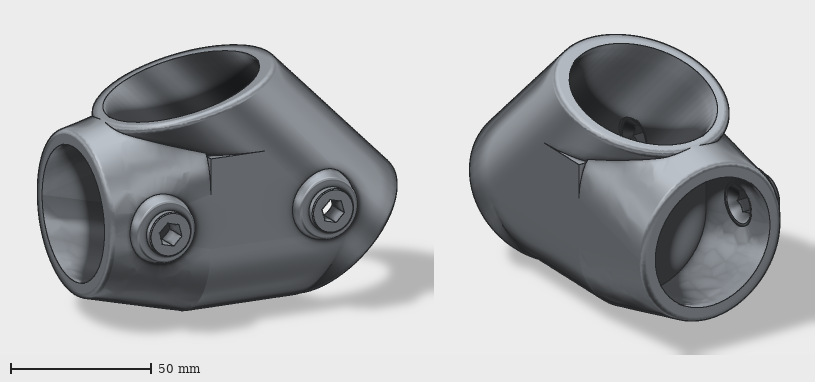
import cadquery as cq
import math

TUBE_RADIUS = 30.3
TUBE_BORE_RADIUS = 25.4
MOUTH_RADIUS = 25.0
TUBE_ANGLE = 45.0
TAPER_ANGLE = 14.5
TAPER_LENGTH = 39.7
CORNER_Y = 94.8
LOWER_END_LENGTH = 12.2
FACE_STEP = 0.1
SADDLE_TOP = 64.0
RIM_FILLET = 2.0
LOWER_FILLET = 1.5

FRONT_BOSS_Y = 20.0
REAR_BOSS_Y = 84.7
BOSS_TIP_RADIUS = 11.3
BOSS_TOP_X = 34.8
BOSS_DRAFT = 15.0
BOSS_FILLET = 1.1
BOSS_START_X = 27.4

SCREW_RADIUS = 8.2
SCREW_START_X = 25.4
SCREW_END_X = 37.8
SCREW_CHAMFER = 0.4
CUP_RADIUS = 7.3
CUP_DEPTH = 3.1
CUP_INNER_RADIUS = 4.0
SOCKET_FLATS = 8.0
SOCKET_TURN = 45.0

taper_rise = TAPER_LENGTH * math.tan(math.radians(TAPER_ANGLE))
mouth_z = TUBE_RADIUS + taper_rise
saddle_z = TUBE_RADIUS
front_top_z = mouth_z + TUBE_RADIUS + FACE_STEP
tube_cos = math.cos(math.radians(TUBE_ANGLE))
tube_sin = math.sin(math.radians(TUBE_ANGLE))
lower_end_y = CORNER_Y + LOWER_END_LENGTH * tube_cos
lower_end_z = saddle_z - LOWER_END_LENGTH * tube_sin
rear_boss_z = saddle_z + (CORNER_Y - REAR_BOSS_Y) * math.tan(math.radians(TUBE_ANGLE))
tube_reach = 2 * CORNER_Y


def tube_cylinder(radius):
    """Cylinder on the inclined tube axis, starting at the lower end face."""
    start = cq.Plane(
        origin=(0, lower_end_y, lower_end_z),
        xDir=(0, -tube_sin, -tube_cos),
        normal=(0, -tube_cos, tube_sin),
    )
    return cq.Workplane(start).circle(radius).extrude(tube_reach)


def side_prism(points, half_width):
    """Prism across X whose outline is given as (y, z) points."""
    return cq.Workplane("YZ").polyline(points).close().extrude(half_width, both=True)


def inclined_tube():
    """Solid tube with a square lower end and an upper end sloping down towards the branch."""
    far_drop = 2 * CORNER_Y * math.tan(math.radians(TAPER_ANGLE))
    below_upper_face = side_prism(
        [
            (0, front_top_z),
            (2 * CORNER_Y, front_top_z + far_drop),
            (2 * CORNER_Y, -CORNER_Y),
            (-CORNER_Y, -CORNER_Y),
            (-CORNER_Y, front_top_z - far_drop / 2),
        ],
        2 * TUBE_RADIUS,
    )
    upper_normal = cq.Vector(0, -math.sin(math.radians(TAPER_ANGLE)), math.cos(math.radians(TAPER_ANGLE)))
    lower_normal = cq.Vector(0, 1, -1)
    tube = tube_cylinder(TUBE_RADIUS).intersect(below_upper_face)
    tube = tube.faces(cq.selectors.DirectionMinMaxSelector(upper_normal)).edges().fillet(RIM_FILLET)
    return tube.faces(cq.selectors.DirectionMinMaxSelector(lower_normal)).edges().fillet(LOWER_FILLET)


def saddle_block():
    """U-shaped block under the tube, mitred where its round bottom meets the tube."""
    profile = (
        cq.Workplane("XZ", origin=(0, TAPER_LENGTH, 0))
        .moveTo(-TUBE_RADIUS, SADDLE_TOP)
        .lineTo(-TUBE_RADIUS, saddle_z)
        .threePointArc((0, 0), (TUBE_RADIUS, saddle_z))
        .lineTo(TUBE_RADIUS, SADDLE_TOP)
        .close()
    )
    block = profile.extrude(-CORNER_Y)
    mitre_y = CORNER_Y - saddle_z * math.tan(math.radians(TUBE_ANGLE / 2))
    slope_end_y = CORNER_Y - (SADDLE_TOP - saddle_z) / math.tan(math.radians(TUBE_ANGLE))
    limits = side_prism(
        [
            (TAPER_LENGTH, 0),
            (mitre_y, 0),
            (CORNER_Y, saddle_z),
            (slope_end_y, SADDLE_TOP),
            (TAPER_LENGTH, SADDLE_TOP),
        ],
        TUBE_RADIUS,
    )
    return block.intersect(limits)


def half_circle_taper(radius, side):
    """Upper (side 1) or lower (side -1) half of the tapered branch: a skewed half cylinder."""
    start_z = mouth_z + side * taper_rise
    half_disc = (
        cq.Workplane("XZ", origin=(0, TAPER_LENGTH, 0))
        .moveTo(-radius, start_z)
        .threePointArc((0, start_z + side * radius), (radius, start_z))
        .close()
        .wires()
        .val()
    )
    mouth = half_disc.translate(cq.Vector(0, -TAPER_LENGTH, -side * taper_rise))
    return cq.Workplane(cq.Solid.makeLoft([half_disc, mouth], True))


def tapered_branch(radius):
    """Body whose obround rear outline narrows to a circle at the mouth."""
    core = side_prism(
        [
            (TAPER_LENGTH, mouth_z - taper_rise),
            (TAPER_LENGTH, mouth_z + taper_rise),
            (0, mouth_z),
        ],
        radius,
    )
    return core.union(half_circle_taper(radius, 1)).union(half_circle_taper(radius, -1))


def boss(y, z):
    """Drafted round boss for a set screw, with a rounded tip."""
    height = BOSS_TOP_X - BOSS_START_X
    root_radius = BOSS_TIP_RADIUS + height * math.tan(math.radians(BOSS_DRAFT))
    cone = cq.Solid.makeCone(
        root_radius, BOSS_TIP_RADIUS, height, cq.Vector(BOSS_START_X, y, z), cq.Vector(1, 0, 0)
    )
    return cq.Workplane(cone).faces(">X").edges().fillet(BOSS_FILLET)


def screw_hole(y, z):
    """Cylinder from the middle of the bore out through the boss."""
    return cq.Workplane("YZ", origin=(0, y, z)).circle(SCREW_RADIUS).extrude(SCREW_END_X)


def set_screw(y, z):
    """Screw with a conical cup at its inner end and a hexagonal socket through it."""
    screw = (
        cq.Workplane("YZ", origin=(SCREW_START_X, y, z))
        .circle(SCREW_RADIUS)
        .extrude(SCREW_END_X - SCREW_START_X)
        .faces(">X")
        .edges()
        .chamfer(SCREW_CHAMFER)
    )
    cup = cq.Solid.makeCone(
        CUP_RADIUS, CUP_INNER_RADIUS, CUP_DEPTH, cq.Vector(SCREW_START_X, y, z), cq.Vector(1, 0, 0)
    )
    socket = (
        cq.Workplane("YZ", origin=(SCREW_START_X, y, z))
        .transformed(rotate=(0, 0, SOCKET_TURN))
        .polygon(6, SOCKET_FLATS / math.cos(math.pi / 6))
        .extrude(SCREW_END_X - SCREW_START_X)
    )
    return screw.cut(cq.Workplane(cup)).cut(socket)


screw_places = [(FRONT_BOSS_Y, mouth_z), (REAR_BOSS_Y, rear_boss_z)]

branch = tapered_branch(TUBE_RADIUS).faces("<Y").edges().fillet(RIM_FILLET)
fitting = branch.union(saddle_block()).union(inclined_tube())
for boss_y, boss_z in screw_places:
    fitting = fitting.union(boss(boss_y, boss_z))
socket_cavity = tapered_branch(MOUTH_RADIUS).cut(tube_cylinder(TUBE_RADIUS))
fitting = fitting.cut(socket_cavity).cut(tube_cylinder(TUBE_BORE_RADIUS))
for boss_y, boss_z in screw_places:
    fitting = fitting.cut(screw_hole(boss_y, boss_z))

set_screws = [set_screw(y, z) for y, z in screw_places]

result = cq.Compound.makeCompound([fitting.val(), *[screw.val() for screw in set_screws]])